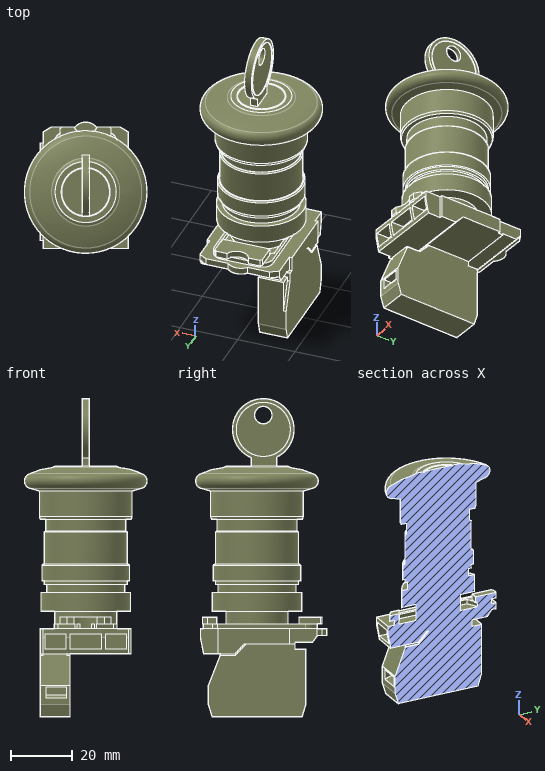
import cadquery as cq

cap_top = 81.6
cap_face_radius = 9.9
cap_shoulder_radius = 11.1
cap_shoulder_z = 81.0
cap_crown_radius = 18.2
cap_crown_z = 79.1
cap_bulge_radius, cap_bulge_z = 14.7, 80.4
cap_radius = 20.0
rim_z = 76.7
rim_bottom_radius, rim_bottom_z = 17.9, 74.2
lock_radius = 8.0
lock_groove_width = 0.2
lock_groove_depth = 0.3

skirt_radius, skirt_bottom = 15.1, 64.2
skirt_top = 73.4
skirt_taper_height = 0.9
skirt_taper_depth = 0.3
waist_radius, waist_bottom = 13.0, 60.5
sleeve_radius, sleeve_bottom = 13.6, 49.5
collar_radius, collar_bottom = 14.3, 44.2
lip_radius, lip_bottom = 13.6, 43.0
groove_radius, groove_bottom = 12.7, 40.5
nut_radius, nut_bottom = 14.6, 34.3
neck_radius = 10.1
edge_chamfer = 0.4

key_thickness = 2.4
key_y = 2.1
key_top = 103.5
key_radius = 10.0
key_center_z = key_top - key_radius
key_hole_radius = 2.8
key_hole_z = 98.1
key_shank_width = 8.4
key_shank_y = 2.3
key_shank_depth = 2.1
key_panel_radius = 8.8
key_panel_depth = 0.2

plate_top = 28.7
plate_half_width = 13.9
plate_front = -18.4
plate_back = 21.2
plate_lip_z = 26.4
plate_bottom = 23.7
plate_front_bottom = 20.5
front_taper_top, front_taper_depth = 25.9, 1.0
tail_back, tail_foot_back, tail_bottom = 19.7, 18.1, 24.2
corner_chamfer_x = 2.8
corner_chamfer_y = 1.7
rail_half_width = 14.8
rail_front = -12.7
rail_back = 10.7
step_back = -4.1
step_front = -7.1
tab_radius = 4.6
tab_y = 18.2

window_bottom, window_top = 22.0, 27.0
window_depth = 4.7
window_spans = [(-13.2, -6.4), (-5.2, 5.2), (6.4, 13.2)]

flange_top = 30.2
flange_half_width = 10.2
flange_front, flange_back = -17.7, 19.7
flange_back_fillet = 3.8
flange_shoulder_x, flange_shoulder_y = 9.0, -14.4
flange_side_front = -12.8
flange_nose_half_width = 3.1
flange_opening_half_width = 9.3
flange_opening_radius = 15.4
flange_slot_inner_x, flange_slot_outer_x = 1.9, 2.9
flange_slot_depth = 2.7
catch_top = 32.4
catch_half_width = 8.3
front_catch_chamfer_x = 2.2
front_catch_chamfer_y = 1.6
rear_catch_front = 13.7
rear_catch_chamfer = 0.6
catch_notch_half_width = 3.7
front_notch_depth = 1.3
rear_notch_depth = 2.6

block_left, block_right = -rail_half_width, -5.1
block_front, block_back = -15.8, 15.9
block_front_shoulder = -11.8
block_back_shoulder = 12.4
block_foot_z = 4.0
block_foot_inset = 1.2
block_front_slope_z = 10.1
block_back_slope_z = 11.1
recess_slope_top = 20.7
block_back_top = 22.0
recess_depth = 0.9
gap_height = 0.6
slot_left, slot_right = -12.9, -6.3
slot_bottom, slot_top = 6.2, 9.6
slot_floor_rise = 0.9
slot_depth = 3.1


def box(x0, x1, y0, y1, z0, z1):
    """Box between opposite corners."""
    return cq.Workplane("XY").box(x1 - x0, y1 - y0, z1 - z0, centered=False).translate((x0, y0, z0))


def side_profile(points, x0, x1):
    """Closed Y-Z outline extruded from x0 to x1."""
    return cq.Workplane("YZ").workplane(offset=x0).polyline(points).close().extrude(x1 - x0)


def make_barrel():
    """Cap, barrel and neck as one turned solid."""
    profile = (
        cq.Workplane("XZ")
        .moveTo(0, cap_top)
        .lineTo(cap_face_radius, cap_top)
        .lineTo(cap_shoulder_radius, cap_shoulder_z)
        .threePointArc((cap_bulge_radius, cap_bulge_z), (cap_crown_radius, cap_crown_z))
        .threePointArc((cap_radius, rim_z), (rim_bottom_radius, rim_bottom_z))
        .lineTo(skirt_radius, skirt_top)
        .lineTo(skirt_radius, skirt_bottom + skirt_taper_height)
        .lineTo(skirt_radius - skirt_taper_depth, skirt_bottom)
        .lineTo(waist_radius, skirt_bottom)
        .lineTo(waist_radius, waist_bottom)
        .lineTo(sleeve_radius - edge_chamfer, waist_bottom)
        .lineTo(sleeve_radius, waist_bottom - edge_chamfer)
        .lineTo(sleeve_radius, sleeve_bottom + edge_chamfer / 2)
        .lineTo(collar_radius - edge_chamfer, sleeve_bottom + edge_chamfer / 2)
        .lineTo(collar_radius, sleeve_bottom - edge_chamfer / 2)
        .lineTo(collar_radius, collar_bottom)
        .lineTo(lip_radius, collar_bottom)
        .lineTo(lip_radius, lip_bottom)
        .lineTo(groove_radius, lip_bottom)
        .lineTo(groove_radius, groove_bottom)
        .lineTo(nut_radius, groove_bottom)
        .lineTo(nut_radius, nut_bottom)
        .lineTo(neck_radius, nut_bottom)
        .lineTo(neck_radius, plate_top)
        .lineTo(0, plate_top)
        .close()
    )
    lock_groove = (
        cq.Workplane("XY")
        .workplane(offset=cap_top)
        .circle(lock_radius)
        .circle(lock_radius - lock_groove_width)
        .extrude(-lock_groove_depth)
    )
    return profile.revolve(360, (0, 0, 0), (0, 1, 0)).cut(lock_groove)


def make_key():
    """Round key head with a hole, on a straight shank that enters the lock."""
    half = key_thickness / 2
    plane = cq.Workplane("YZ").workplane(offset=-half)
    head = plane.center(key_y, key_center_z).circle(key_radius).extrude(key_thickness)
    shank = box(
        -half, half,
        key_shank_y - key_shank_width / 2, key_shank_y + key_shank_width / 2,
        cap_top - key_shank_depth, key_center_z,
    )
    hole = plane.center(key_y, key_hole_z).circle(key_hole_radius).extrude(key_thickness)
    key = head.union(shank).cut(hole)
    for side in (-1, 1):
        panel = (
            cq.Workplane("YZ")
            .workplane(offset=side * half)
            .center(key_y, key_center_z)
            .circle(key_panel_radius)
            .extrude(-side * key_panel_depth)
        )
        key = key.cut(panel)
    return key


def make_plate():
    """Mounting plate with side rails, a round tab at the back and windows in the front."""
    underside = [
        (step_back, plate_bottom),
        (step_front, plate_front_bottom),
    ]
    body = side_profile(
        [
            (plate_front, plate_top),
            (plate_back, plate_top),
            (plate_back, plate_lip_z),
            (tail_back, plate_lip_z),
            (tail_foot_back, tail_bottom),
            (block_back_shoulder, tail_bottom),
            (block_back_shoulder, plate_bottom),
            *underside,
            (plate_front + front_taper_depth, plate_front_bottom),
            (plate_front, front_taper_top),
        ],
        -plate_half_width, plate_half_width,
    )
    trim_outline = [
        (plate_half_width - corner_chamfer_x, plate_back),
        (plate_half_width, plate_back),
        (plate_half_width, plate_back - corner_chamfer_y),
    ]
    trim = cq.Workplane("XY").polyline(trim_outline).close().extrude(plate_top)
    body = body.cut(trim).cut(trim.mirror("YZ"))
    rails = side_profile(
        [
            (rail_front, plate_top),
            (rail_back, plate_top),
            (rail_back, plate_bottom),
            *underside,
            (rail_front, plate_front_bottom),
        ],
        -rail_half_width, rail_half_width,
    )
    tab = (
        cq.Workplane("XY").workplane(offset=plate_lip_z).center(0, tab_y).circle(tab_radius)
        .extrude(plate_top - plate_lip_z)
    )
    plate = body.union(rails).union(tab)
    for x0, x1 in window_spans:
        plate = plate.cut(box(x0, x1, plate_front, plate_front + window_depth, window_bottom, window_top))
    return plate


def catch_notch(edge_y, inner_y):
    """Arc-shaped notch in the middle of a catch's outer edge, deep enough to reach the plate."""
    return (
        cq.Workplane("XY")
        .workplane(offset=plate_top)
        .moveTo(-catch_notch_half_width, edge_y)
        .threePointArc((0, inner_y), (catch_notch_half_width, edge_y))
        .close()
        .extrude(catch_top - plate_top)
    )


def make_flange():
    """Open flange with rounded back corners, a slotted nose, a front catch and a rear catch."""
    opening_round = cq.Workplane("XY").circle(flange_opening_radius).extrude(catch_top)
    opening = opening_round.intersect(
        box(-flange_opening_half_width, flange_opening_half_width,
            -flange_opening_radius, flange_opening_radius, plate_top, catch_top)
    )
    front_notch = catch_notch(flange_front, flange_front + front_notch_depth)
    flange = (
        cq.Workplane("XY")
        .workplane(offset=plate_top)
        .polyline([
            (-flange_half_width, flange_back), (flange_half_width, flange_back),
            (flange_half_width, flange_side_front), (flange_shoulder_x, flange_shoulder_y),
            (flange_nose_half_width, flange_front), (-flange_nose_half_width, flange_front),
            (-flange_shoulder_x, flange_shoulder_y), (-flange_half_width, flange_side_front),
        ])
        .close()
        .extrude(flange_top - plate_top)
        .edges("|Z and >Y").fillet(flange_back_fillet)
        .cut(opening)
        .cut(front_notch)
    )
    slot = box(flange_slot_inner_x, flange_slot_outer_x,
               flange_front, flange_front + flange_slot_depth, plate_top, flange_top)
    flange = flange.cut(slot).cut(slot.mirror("YZ"))
    shoulder_x = catch_half_width - front_catch_chamfer_x
    shoulder_y = flange_front + front_catch_chamfer_y
    front_catch = (
        cq.Workplane("XY")
        .workplane(offset=flange_top)
        .polyline([
            (-catch_half_width, 0), (-catch_half_width, shoulder_y), (-shoulder_x, flange_front),
            (shoulder_x, flange_front), (catch_half_width, shoulder_y), (catch_half_width, 0),
        ])
        .close()
        .extrude(catch_top - flange_top)
    )
    front_catch = front_catch.cut(opening_round).cut(front_notch)
    rear_catch = (
        box(-catch_half_width, catch_half_width, rear_catch_front, plate_back, flange_top, catch_top)
        .edges("|Z and >Y").chamfer(rear_catch_chamfer)
        .cut(catch_notch(plate_back, plate_back - rear_notch_depth))
    )
    return flange.union(front_catch).union(rear_catch)


def make_block():
    """Contact block with sloped shoulders, a terminal slot and gaps below the plate rails."""
    block = side_profile(
        [
            (block_front + block_foot_inset, 0),
            (block_back - block_foot_inset, 0),
            (block_back, block_foot_z),
            (block_back, block_back_top),
            (block_back_shoulder, block_back_top),
            (block_back_shoulder, plate_bottom),
            (step_back, plate_bottom),
            (step_front, plate_front_bottom),
            (block_front_shoulder, plate_front_bottom),
            (block_front, block_front_slope_z),
            (block_front, block_foot_z),
        ],
        block_left, block_right,
    )
    back_corner = [
        (block_back_shoulder, block_back_top),
        (block_back_shoulder, recess_slope_top),
        (block_back, block_back_slope_z),
        (block_back, block_back_top),
    ]
    gap = [
        (step_back, plate_bottom),
        (step_front, plate_front_bottom),
        (block_front, plate_front_bottom),
        (block_front, plate_front_bottom - gap_height),
        (step_front, plate_front_bottom - gap_height),
        (step_back + gap_height, plate_bottom),
    ]
    block = block.cut(side_profile(back_corner, block_left, block_left + recess_depth))
    for x0 in (block_left, block_right - recess_depth):
        block = block.cut(side_profile(gap, x0, x0 + recess_depth))
    slot = [
        (block_front, slot_bottom),
        (block_front, slot_top),
        (block_front + slot_depth, slot_top),
        (block_front + slot_depth, slot_bottom + slot_floor_rise),
    ]
    return block.cut(side_profile(slot, slot_left, slot_right))


result = make_barrel().union(make_key()).union(make_flange()).union(make_plate()).union(make_block())